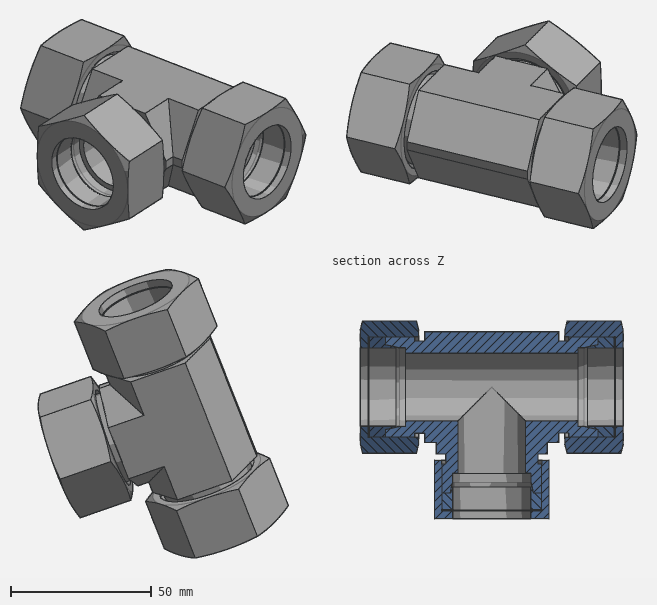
import cadquery as cq
import math

BODY_ACROSS_FLATS = 36.0
BODY_HALF_WIDTH = 19.8
BODY_REACH = 24.0
NECK_RADIUS = 16.5
NECK_REACH = 27.45
STUD_RADIUS = 18.0
STUD_REACH = 38.0
BORE_RADIUS = 12.0
SOCKET_RADIUS = 14.0
SEAT_REACH = 30.8
RUN_CONE_REACH = 33.0
BRANCH_CONE_REACH = 34.1
CONE_HALF_ANGLE = 12

RUN_NOSE_DEPTH = 1.2
BRANCH_NOSE_DEPTH = 1.5
RING_NUT_GAP = 0.4
RING_BORE_RADIUS = 13.9

NUT_ACROSS_FLATS = 41.0
NUT_START = 26.0
NUT_END = 47.0
NUT_LIP_THICKNESS = 2.8
NUT_CHAMFER_ANGLE = 15

NUT_LIP_START = NUT_END - NUT_LIP_THICKNESS
RING_END = NUT_LIP_START - RING_NUT_GAP

RUN_PORT_ANGLES = [0, 180]
BRANCH_PORT_ANGLE = -90
PORT_ANGLES = RUN_PORT_ANGLES + [BRANCH_PORT_ANGLE]


def cone_radius(depth):
    """Radius of the ring cone at a distance outward from its inner end."""
    return SOCKET_RADIUS + depth * math.tan(math.radians(CONE_HALF_ANGLE))


def cylinder(radius, start, end):
    """Cylinder on the X axis from start to end."""
    return cq.Workplane("YZ", origin=(start, 0, 0)).circle(radius).extrude(end - start)


def revolve_about_x(half_section):
    """Solid of revolution from a closed list of (x, radius) points."""
    return cq.Workplane("XY").polyline(half_section).close().revolve(360, (0, 0, 0), (1, 0, 0))


def turn_to_port(shape, angle):
    """Turn a shape from the +X direction to a port direction."""
    return shape.rotate((0, 0, 0), (0, 0, 1), angle)


def blunt_hexagon_bar(start, end):
    """Bar on X with flats at the top and bottom and blunted edges at the sides."""
    half_flat = BODY_ACROSS_FLATS / 2
    corner_radius = BODY_ACROSS_FLATS / math.sqrt(3)
    half_top = corner_radius / 2
    half_side = (corner_radius - BODY_HALF_WIDTH) * math.sqrt(3)
    profile = [
        (half_top, half_flat),
        (BODY_HALF_WIDTH, half_side),
        (BODY_HALF_WIDTH, -half_side),
        (half_top, -half_flat),
        (-half_top, -half_flat),
        (-BODY_HALF_WIDTH, -half_side),
        (-BODY_HALF_WIDTH, half_side),
        (-half_top, half_flat),
    ]
    return cq.Workplane("YZ", origin=(start, 0, 0)).polyline(profile).close().extrude(end - start)


def port_cavity(cone_reach):
    """Bore, tube socket and ring cone of one port along +X."""
    return revolve_about_x([
        (0, 0),
        (0, BORE_RADIUS),
        (SEAT_REACH, BORE_RADIUS),
        (SEAT_REACH, SOCKET_RADIUS),
        (cone_reach, SOCKET_RADIUS),
        (STUD_REACH, cone_radius(STUD_REACH - cone_reach)),
        (STUD_REACH, 0),
    ])


def make_tee_body():
    """Tee block with three necked studs, bored through to each port."""
    body = blunt_hexagon_bar(-BODY_REACH, BODY_REACH)
    body = body.union(turn_to_port(blunt_hexagon_bar(0, BODY_REACH), BRANCH_PORT_ANGLE))
    for angle in PORT_ANGLES:
        body = body.union(turn_to_port(cylinder(NECK_RADIUS, BODY_REACH, NECK_REACH), angle))
        body = body.union(turn_to_port(cylinder(STUD_RADIUS, NECK_REACH, STUD_REACH), angle))
    for angle in RUN_PORT_ANGLES:
        body = body.cut(turn_to_port(port_cavity(RUN_CONE_REACH), angle))
    body = body.cut(turn_to_port(port_cavity(BRANCH_CONE_REACH), BRANCH_PORT_ANGLE))
    return body


def make_cutting_ring(cone_reach, nose_depth):
    """Ring with a tapered nose in the body cone and a collar behind the stud end."""
    nose_reach = cone_reach + nose_depth
    return revolve_about_x([
        (nose_reach, RING_BORE_RADIUS),
        (nose_reach, cone_radius(nose_depth)),
        (STUD_REACH, cone_radius(STUD_REACH - cone_reach)),
        (STUD_REACH, STUD_RADIUS),
        (RING_END, STUD_RADIUS),
        (RING_END, RING_BORE_RADIUS),
    ])


def make_union_nut(roll):
    """Hexagon nut chamfered at both ends; with no roll two corners point along Y."""
    corner_radius = NUT_ACROSS_FLATS / math.sqrt(3)
    flat_radius = NUT_ACROSS_FLATS / 2
    chamfer_depth = (corner_radius - flat_radius) * math.tan(math.radians(NUT_CHAMFER_ANGLE))
    hexagon = (
        cq.Workplane("YZ", origin=(NUT_START, 0, 0))
        .polygon(6, 2 * corner_radius)
        .extrude(NUT_END - NUT_START)
    )
    chamfer_envelope = revolve_about_x([
        (NUT_START, 0),
        (NUT_START, flat_radius),
        (NUT_START + chamfer_depth, corner_radius),
        (NUT_END - chamfer_depth, corner_radius),
        (NUT_END, flat_radius),
        (NUT_END, 0),
    ])
    nut = hexagon.intersect(chamfer_envelope)
    nut = nut.cut(cylinder(STUD_RADIUS, NUT_START, NUT_LIP_START))
    nut = nut.cut(cylinder(RING_BORE_RADIUS, NUT_LIP_START, NUT_END))
    return nut.rotate((0, 0, 0), (1, 0, 0), roll)


RUN_NUT_ROLL = 0
BRANCH_NUT_ROLL = 90

tee_body = make_tee_body()

cutting_rings = [
    turn_to_port(make_cutting_ring(RUN_CONE_REACH, RUN_NOSE_DEPTH), angle) for angle in RUN_PORT_ANGLES
]
branch_ring = make_cutting_ring(BRANCH_CONE_REACH, BRANCH_NOSE_DEPTH)
cutting_rings.append(turn_to_port(branch_ring, BRANCH_PORT_ANGLE))

union_nuts = [turn_to_port(make_union_nut(RUN_NUT_ROLL), angle) for angle in RUN_PORT_ANGLES]
union_nuts.append(turn_to_port(make_union_nut(BRANCH_NUT_ROLL), BRANCH_PORT_ANGLE))

result = cq.Compound.makeCompound([
    tee_body.val(),
    *[ring.val() for ring in cutting_rings],
    *[nut.val() for nut in union_nuts],
])